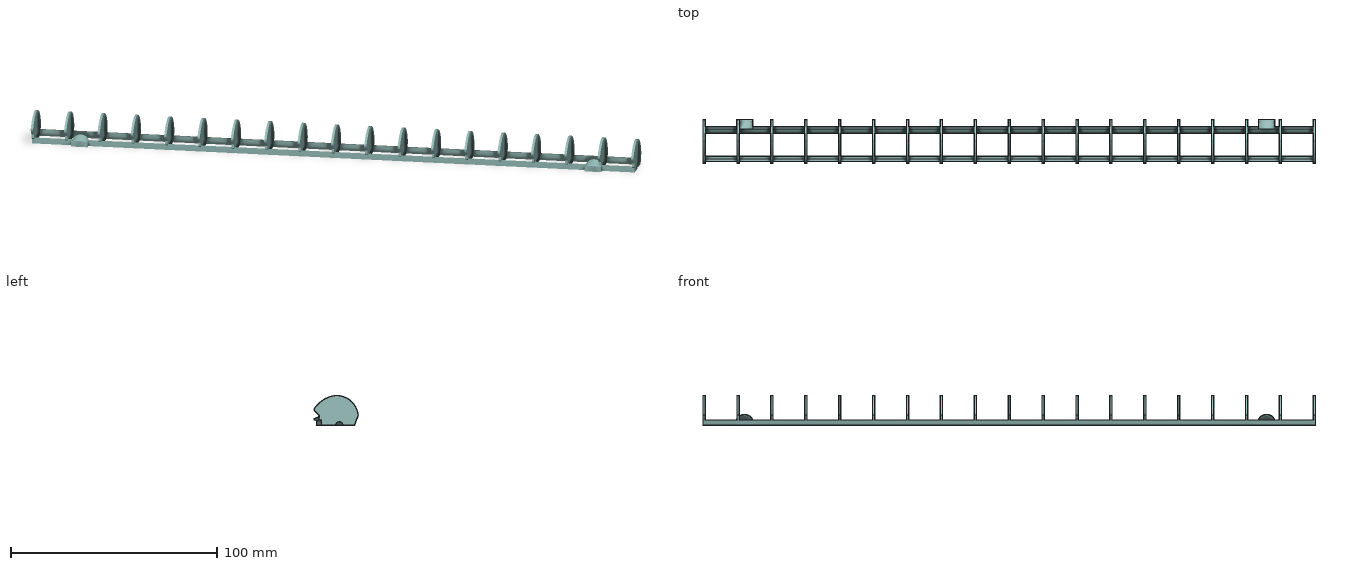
import cadquery as cq

length = 297.2
part_width = 21.5
plate_height = 14.5
front_y = -part_width / 2
rear_y = part_width / 2

plate_count = 19
plate_thickness = 1.2
plate_pitch = (length - plate_thickness) / (plate_count - 1)

base_front_y = -9.0
base_rear_y = 5.5
widest_z = 5.0
crown_y = 0.3
lower_front_mid = (-10.5, 4.0)
upper_front_mid = (-7.7, 11.3)
back_mid = (6.2, 12.5)
tip_z = 7.7
tip_half_height = 1.2
tip_depth = 0.5
undercut_y = 8.3
undercut_top_z = 4.8
undercut_bottom_z = 3.0
heel_height = 1.5

arch_y = -1.5
arch_radius = 1.8

rail_height = 2.7

foot_front_y = -9.8
front_rail_ridge_y = -8.5
front_rail_inner_y = -7.0

rear_rail_inner_y = 4.0
rear_rail_ridge_y = 6.0
rear_rail_outer_y = 7.0
rear_rail_shoulder_z = 0.5

nub_centers_x = (20.2, 273.5)
nub_width = 8.0
nub_side_height = 2.7
nub_inner_y = 6.0
nub_inner_top_z = 5.3
nub_lip_top_z = 3.3
nub_foot_y = 9.5
nub_foot_height = 2.5


def plate(start_x):
    """Upright plate with a round front and a rounded rear tip, undercut below the tip."""
    return (
        cq.Workplane("YZ", origin=(start_x, 0, 0))
        .moveTo(base_rear_y, 0)
        .lineTo(base_front_y, 0)
        .lineTo(foot_front_y, rail_height)
        .threePointArc(lower_front_mid, (front_y, widest_z))
        .threePointArc(upper_front_mid, (crown_y, plate_height))
        .threePointArc(back_mid, (rear_y - tip_depth, tip_z + tip_half_height))
        .threePointArc((rear_y, tip_z), (rear_y - tip_depth, tip_z - tip_half_height))
        .lineTo(undercut_y, undercut_top_z)
        .lineTo(undercut_y, undercut_bottom_z)
        .lineTo(base_rear_y, heel_height)
        .close()
        .extrude(plate_thickness)
    )


def rail(section):
    """Rail over the full length with the given YZ section."""
    return cq.Workplane("YZ").polyline(section).close().extrude(length)


def arched_outline(center_x, y, top_z):
    """Upright XZ outline with straight sides and an arched top."""
    half_width = nub_width / 2
    outline = (
        cq.Workplane("XZ", origin=(center_x, y, 0))
        .moveTo(-half_width, 0)
        .lineTo(-half_width, nub_side_height)
        .threePointArc((0, top_z), (half_width, nub_side_height))
        .lineTo(half_width, 0)
        .close()
    )
    return outline.val()


def nub(center_x):
    """Arched block falling to the rear, cut back below its lip down to the foot."""
    inner_outline = arched_outline(center_x, nub_inner_y, nub_inner_top_z)
    lip_outline = arched_outline(center_x, rear_y, nub_lip_top_z)
    block = cq.Workplane(cq.Solid.makeLoft([inner_outline, lip_outline], True))
    undercut_outline = [
        (nub_foot_y, 0),
        (rear_y, 0),
        (rear_y, nub_side_height),
        (nub_foot_y, nub_foot_height),
    ]
    undercut = (
        cq.Workplane("YZ", origin=(center_x - nub_width / 2, 0, 0))
        .polyline(undercut_outline)
        .close()
        .extrude(nub_width)
    )
    return block.cut(undercut)


front_rail = rail([
    (base_front_y, 0),
    (front_rail_inner_y, 0),
    (front_rail_ridge_y, rail_height),
    (foot_front_y, rail_height),
])

rear_rail = rail([
    (rear_rail_inner_y, 0),
    (rear_rail_outer_y, 0),
    (rear_rail_outer_y, rail_height),
    (rear_rail_ridge_y, rail_height),
    (rear_rail_inner_y, rear_rail_shoulder_z),
])

result = front_rail.union(rear_rail)
for index in range(plate_count):
    result = result.union(plate(index * plate_pitch))
for nub_center_x in nub_centers_x:
    result = result.union(nub(nub_center_x))

arch = cq.Workplane("YZ").center(arch_y, 0).circle(arch_radius).extrude(plate_thickness)
result = result.cut(arch)